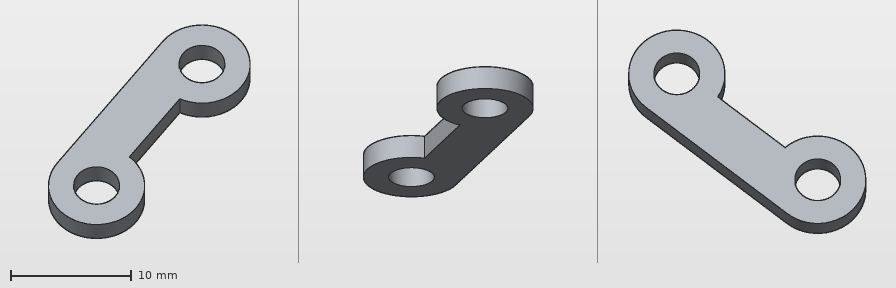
import cadquery as cq

length = 23.2
eye_diameter = 8.0
hole_diameter = 3.8
bar_width = 4.55
thickness = 2.0

eye_radius = eye_diameter / 2
hole_spacing = length - eye_diameter
eye_centers = [(0, -hole_spacing / 2), (0, hole_spacing / 2)]

bar = (
    cq.Workplane("XY")
    .center(-eye_radius + bar_width / 2, 0)
    .rect(bar_width, hole_spacing)
    .extrude(thickness)
)

eyes = cq.Workplane("XY").pushPoints(eye_centers).circle(eye_radius).extrude(thickness)

holes = cq.Workplane("XY").pushPoints(eye_centers).circle(hole_diameter / 2).extrude(thickness)

result = bar.union(eyes).cut(holes)